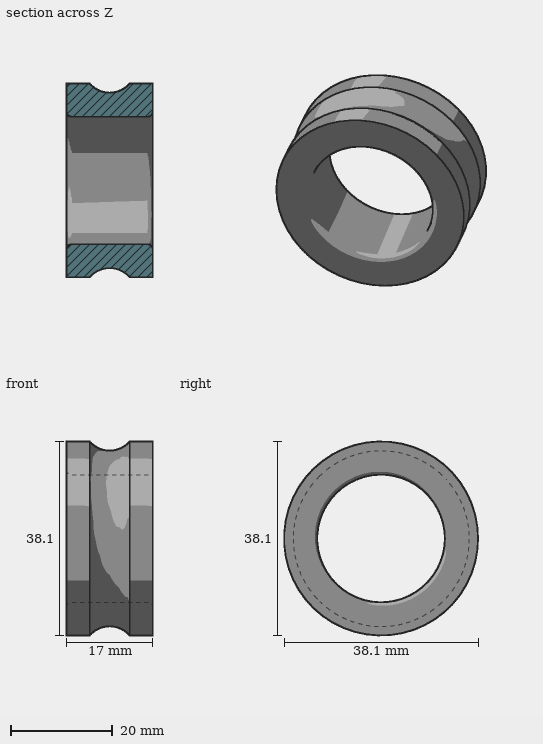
import cadquery as cq

outer_diameter = 38.1
bore_diameter = 25.0
width = 17.0
groove_width = 7.9
groove_depth = 1.8
bore_fillet = 1.05

outer_radius = outer_diameter / 2
bore_radius = bore_diameter / 2
half_width = width / 2
half_groove = groove_width / 2


def ring_blank():
    """Solid of revolution with a circular-arc groove around the rim."""
    profile = (
        cq.Workplane("XY")
        .moveTo(-half_width, bore_radius)
        .lineTo(-half_width, outer_radius)
        .lineTo(-half_groove, outer_radius)
        .threePointArc((0, outer_radius - groove_depth), (half_groove, outer_radius))
        .lineTo(half_width, outer_radius)
        .lineTo(half_width, bore_radius)
        .close()
    )
    return profile.revolve(360, (0, 0, 0), (1, 0, 0))


def round_bore_mouths(ring):
    """Fillet the bore edge on both end faces."""
    bore_edges = cq.selectors.RadiusNthSelector(0)
    return ring.faces("<X or >X").edges(bore_edges).fillet(bore_fillet)


result = round_bore_mouths(ring_blank())